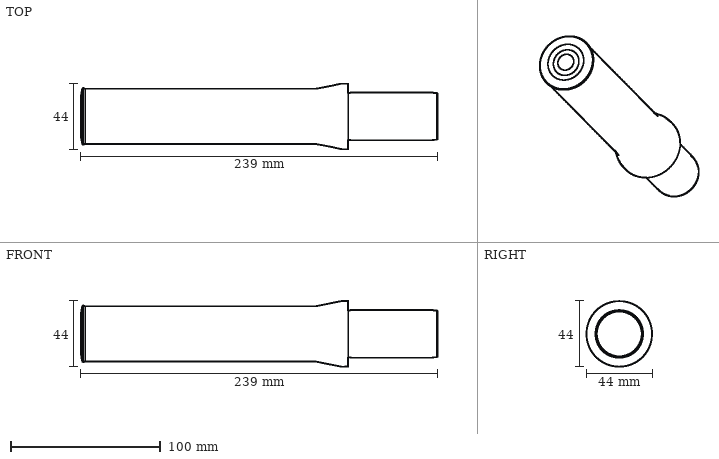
import cadquery as cq

TOTAL_LENGTH = 239.0
SHANK_LENGTH = 60.0
COLLAR_RIM_LENGTH = 4.7
COLLAR_CONE_LENGTH = 17.4
COLLAR_END = TOTAL_LENGTH - SHANK_LENGTH
RIM_START = COLLAR_END - COLLAR_RIM_LENGTH
CONE_START = RIM_START - COLLAR_CONE_LENGTH

CUTTING_RADIUS = 38.0 / 2
BODY_RADIUS = 37.0 / 2
COLLAR_RADIUS = 44.0 / 2
SHANK_RADIUS = 32.0 / 2
RELIEF_RADIUS = 31.5 / 2
TAIL_END_RADIUS = 29.9 / 2

CONE_BLEND_RADIUS = 5.0

HEAD_LENGTH = 3.0
CENTRE_DEPTH = 0.8
INNER_RIDGE_RADIUS = 5.6
VALLEY_RADIUS = 9.0
VALLEY_DEPTH = 0.8
OUTER_RIDGE_RADIUS = 12.6
FACE_EDGE_RADIUS = 17.05
FACE_EDGE_DEPTH = 0.75
BEVEL_RADIUS = 18.5
BEVEL_DEPTH = 1.15
CORNER_DEPTH = 1.75

NECK_LENGTH = 0.8
TAIL_LENGTH = 2.6
RELIEF_TAPER_LENGTH = 1.0
TAIL_CHAMFER_LENGTH = 0.95


def revolve_about_x(outline):
    """Solid of revolution about the X axis from a closed outline of (x, radius) points."""
    return cq.Workplane("XZ").polyline(outline).close().revolve(360, (0, 0, 0), (1, 0, 0))


def make_cutting_head():
    """Disc at the tip with concentric ridges; it tapers back to the holder body."""
    return revolve_about_x([
        (HEAD_LENGTH, 0),
        (CENTRE_DEPTH, 0),
        (0, INNER_RIDGE_RADIUS),
        (VALLEY_DEPTH, VALLEY_RADIUS),
        (0, OUTER_RIDGE_RADIUS),
        (FACE_EDGE_DEPTH, FACE_EDGE_RADIUS),
        (BEVEL_DEPTH, BEVEL_RADIUS),
        (CORNER_DEPTH, CUTTING_RADIUS),
        (HEAD_LENGTH, BODY_RADIUS),
    ])


def blend_cone_ends(holder):
    """Round the two circular edges at the small and large ends of the collar cone."""
    margin = 1.0
    reach = COLLAR_RADIUS + margin
    cone_region = cq.selectors.BoxSelector(
        (CONE_START - margin, -reach, -reach),
        (RIM_START + margin, reach, reach),
    )
    return holder.edges(cone_region).edges("%CIRCLE").fillet(CONE_BLEND_RADIUS)


def make_holder():
    """Body, conical collar and shank turned in one piece."""
    neck_end = COLLAR_END + NECK_LENGTH
    tail_start = TOTAL_LENGTH - TAIL_LENGTH
    holder = revolve_about_x([
        (HEAD_LENGTH, 0),
        (HEAD_LENGTH, BODY_RADIUS),
        (CONE_START, BODY_RADIUS),
        (RIM_START, COLLAR_RADIUS),
        (COLLAR_END, COLLAR_RADIUS),
        (COLLAR_END, RELIEF_RADIUS),
        (neck_end, RELIEF_RADIUS),
        (neck_end + RELIEF_TAPER_LENGTH, SHANK_RADIUS),
        (tail_start - RELIEF_TAPER_LENGTH, SHANK_RADIUS),
        (tail_start, RELIEF_RADIUS),
        (TOTAL_LENGTH - TAIL_CHAMFER_LENGTH, RELIEF_RADIUS),
        (TOTAL_LENGTH, TAIL_END_RADIUS),
        (TOTAL_LENGTH, 0),
    ])
    return blend_cone_ends(holder)


cutting_head = make_cutting_head()
holder = make_holder()

result = cq.Compound.makeCompound([cutting_head.val(), holder.val()])